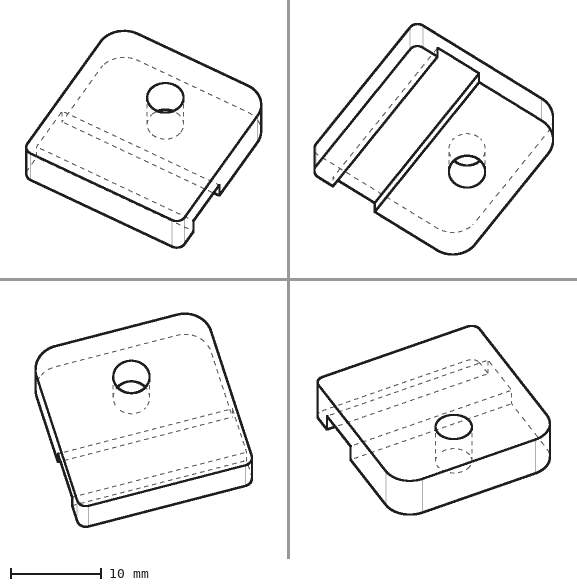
import cadquery as cq

side = 20.0
thickness = 5.0
front_corner_radius = 1.0
back_corner_radius = 3.0

hole_diameter = 4.0
hole_from_back = 6.0

slot_width = 5.6
slot_depth = 2.0
slot_from_front = 3.0


def make_plate():
    """Square plate with small front corners and larger back corners."""
    plate = cq.Workplane("XY").box(side, side, thickness, centered=(True, True, False))
    plate = plate.edges("|Z and <Y").fillet(front_corner_radius)
    return plate.edges("|Z and >Y").fillet(back_corner_radius)


def make_hole():
    """Vertical cylinder through the full thickness."""
    hole_y = side / 2 - hole_from_back
    return cq.Workplane("XY").center(0, hole_y).circle(hole_diameter / 2).extrude(thickness)


def make_slot():
    """Rectangular channel along X, cut up from the bottom face."""
    slot_y = -side / 2 + slot_from_front + slot_width / 2
    return cq.Workplane("XY").center(0, slot_y).rect(side, slot_width).extrude(slot_depth)


result = make_plate().cut(make_hole()).cut(make_slot())